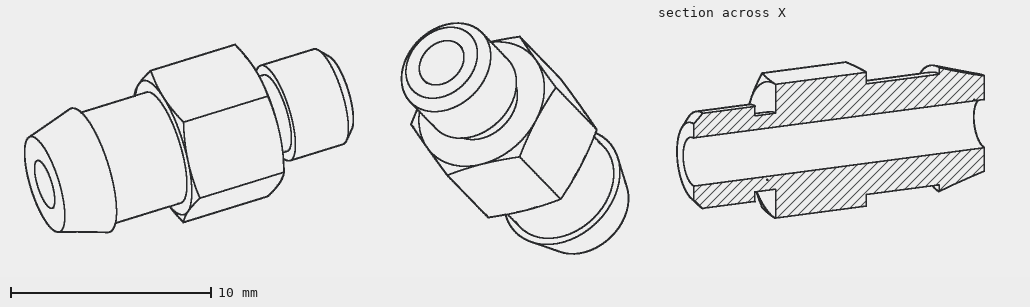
import cadquery as cq
import math

total_length = 16.0
barb_length = 2.5
tube_length = 4.0
hex_length = 5.0
thread_length = 3.4
thread_chamfer = 0.5

bore_diameter = 2.5
barb_tip_diameter = 5.0
barb_base_diameter = 6.5
tube_diameter = 5.8
neck_diameter = 4.0
thread_diameter = 5.0
hex_across_flats = 7.0
hex_chamfer_angle = 20.0

barb_end = barb_length
hex_start = barb_end + tube_length
hex_end = hex_start + hex_length
thread_start = total_length - thread_length


def revolve_profile(points):
    """Revolve a closed (radius, y) outline about the Y axis."""
    return cq.Workplane("XY").polyline(points).close().revolve(360, (0, 0, 0), (0, 1, 0))


def make_turned_body():
    """Barb, tube, neck and threaded end; the neck runs on inside the hexagon."""
    tube_radius = tube_diameter / 2
    neck_radius = neck_diameter / 2
    thread_radius = thread_diameter / 2
    return revolve_profile([
        (0, 0),
        (barb_tip_diameter / 2, 0),
        (barb_base_diameter / 2, barb_end),
        (tube_radius, barb_end),
        (tube_radius, hex_start),
        (neck_radius, hex_start),
        (neck_radius, thread_start),
        (thread_radius, thread_start),
        (thread_radius, total_length - thread_chamfer),
        (thread_radius - thread_chamfer, total_length),
        (0, total_length),
    ])


def make_hexagon():
    """Hexagon with corners on X, its corners trimmed by a cone at each end."""
    across_corners = hex_across_flats / math.cos(math.radians(30))
    corner_radius = across_corners / 2
    flat_radius = hex_across_flats / 2
    corner_drop = (corner_radius - flat_radius) * math.tan(math.radians(hex_chamfer_angle))
    prism = (
        cq.Workplane("XZ", origin=(0, hex_end, 0))
        .polygon(6, across_corners)
        .extrude(hex_length)
    )
    envelope = revolve_profile([
        (0, hex_start),
        (flat_radius, hex_start),
        (corner_radius, hex_start + corner_drop),
        (corner_radius, hex_end - corner_drop),
        (flat_radius, hex_end),
        (0, hex_end),
    ])
    return prism.intersect(envelope)


def make_bore():
    """Passage through the whole length."""
    return (
        cq.Workplane("XZ", origin=(0, total_length, 0))
        .circle(bore_diameter / 2)
        .extrude(total_length)
    )


result = make_turned_body().union(make_hexagon()).cut(make_bore())